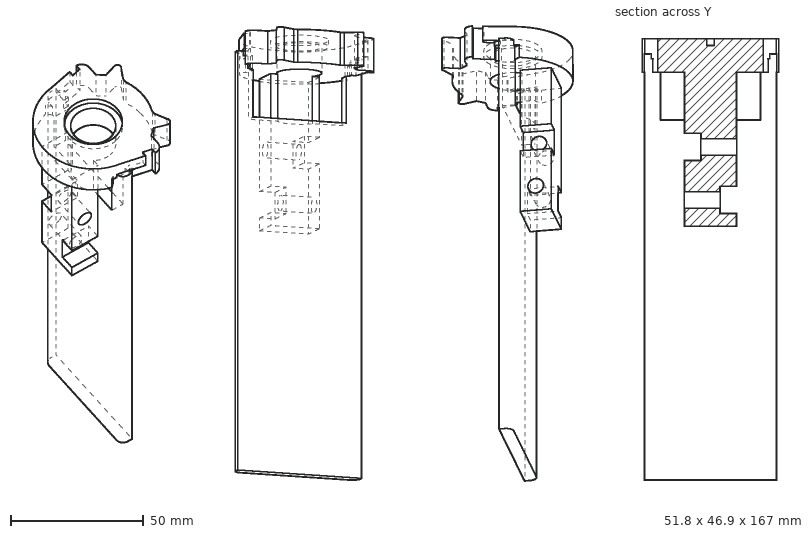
import cadquery as cq

COLLAR_TOP = 167.0
COLLAR_HEIGHT = 12.7
COLLAR_BOTTOM = COLLAR_TOP - COLLAR_HEIGHT
COLLAR_RADIUS = 22.9
BORE_DIAMETER = 17.0
COUNTERBORE_DIAMETER = 22.0
COUNTERBORE_DEPTH = 2.5

SHOULDER_HALF_WIDTH = 25.9
SHOULDER_REAR = 14.0
SHOULDER_FRONT = 10.5
SHOULDER_ROUND = SHOULDER_REAR - SHOULDER_FRONT
SIDE_WALL_REAR_X = 23.7
SIDE_WALL_FRONT_X = 21.9
HORN_TIP_Y = 24.0
HORN_OUTER_X = 17.4
HORN_TIP_WIDTH = 2.5
HORN_TIP_DROP = 0.5
HORN_TIP_HEIGHT = 2.0
HORN_ROOT = (15.7, 17.0)
HORN_VALLEY = (10.2, 21.2)
SHOULDER_INNER_X = 18.0

TAB_HEIGHT = 5.8
TAB_HALF_WIDTH = 24.9
TAB_REAR = 6.7
TAB_FRONT = (22.4, -4.3)

PLATE_WIDTH = 50.1
PLATE_THICKNESS = 5.2
PLATE_FRONT = -4.8
PLATE_REAR = PLATE_FRONT + PLATE_THICKNESS
PLATE_TOP = COLLAR_TOP - 5.7
PLATE_EDGE_RADIUS = 3.0
WINDOW_WIDTH = 37.7
WINDOW_BOTTOM = COLLAR_TOP - 30.7

RELIEF_TOP = COLLAR_TOP - 7.5
RELIEF_INNER_X = 20.0
RELIEF_MOUTH_X = 21.9
RELIEF_REAR = 2.5
RELIEF_FRONT = -6.8

BLOCK_WIDTH = 19.7
BLOCK_FRONT = -16.9
BLOCK_BOTTOM = COLLAR_TOP - 71.0
CROSS_HOLE_DIAMETER = 6.0
CROSS_HOLE_Y = -10.9
LEFT_SLOT_Z = COLLAR_TOP - 40.9
HOLE_SPACING = 20.0
SLOT_HEIGHT = 10.2
SLOT_DEPTH = 6.2


def box(x_range, y_range, z_range):
    """Axis-aligned box between the given limits."""
    low, high = zip(x_range, y_range, z_range)
    size = [b - a for a, b in zip(low, high)]
    return cq.Workplane("XY").box(*size, centered=False).translate(low)


def both_sides(half):
    """A left-hand feature together with its mirror image."""
    return half.union(half.mirror("YZ"))


def rear_outline_half():
    """Left half of the rear of the collar: side wall, shoulder and horn."""
    corner_offset = SHOULDER_ROUND * (1 - 0.5 ** 0.5)
    horn_tip_x = HORN_OUTER_X - HORN_TIP_WIDTH / 2
    horn_side_y = HORN_TIP_Y - HORN_TIP_HEIGHT
    return (
        cq.Workplane("XY")
        .workplane(offset=COLLAR_BOTTOM)
        .moveTo(0, 0)
        .lineTo(-SIDE_WALL_FRONT_X, RELIEF_REAR)
        .lineTo(-SIDE_WALL_REAR_X, SHOULDER_FRONT)
        .lineTo(-SHOULDER_HALF_WIDTH, SHOULDER_FRONT)
        .threePointArc(
            (-SHOULDER_HALF_WIDTH + corner_offset, SHOULDER_REAR - corner_offset),
            (-SHOULDER_HALF_WIDTH + SHOULDER_ROUND, SHOULDER_REAR),
        )
        .lineTo(-SHOULDER_INNER_X, SHOULDER_REAR)
        .lineTo(-HORN_ROOT[0], HORN_ROOT[1])
        .lineTo(-HORN_OUTER_X, horn_side_y)
        .threePointArc((-horn_tip_x, HORN_TIP_Y), (-HORN_OUTER_X + HORN_TIP_WIDTH, HORN_TIP_Y - HORN_TIP_DROP))
        .lineTo(-HORN_VALLEY[0], HORN_VALLEY[1])
        .lineTo(0, HORN_VALLEY[1])
        .close()
        .extrude(COLLAR_HEIGHT)
    )


def tab_half():
    """Left tapered tab, flush with the top of the collar."""
    return (
        cq.Workplane("XY")
        .workplane(offset=COLLAR_TOP - TAB_HEIGHT)
        .polyline([(0, TAB_REAR), (-TAB_HALF_WIDTH, TAB_REAR), (-TAB_FRONT[0], TAB_FRONT[1]), (0, TAB_FRONT[1])])
        .close()
        .extrude(TAB_HEIGHT)
    )


def side_trim_half():
    """Waste outside the sloping left side wall, below the shoulder."""
    points = [
        (-SIDE_WALL_FRONT_X, RELIEF_REAR),
        (-SIDE_WALL_REAR_X, SHOULDER_FRONT),
        (-SHOULDER_HALF_WIDTH, SHOULDER_FRONT),
        (-SHOULDER_HALF_WIDTH, RELIEF_REAR),
    ]
    return cq.Workplane("XY").workplane(offset=COLLAR_BOTTOM).polyline(points).close().extrude(COLLAR_HEIGHT)


def relief_half():
    """Clearance at the left plate edge, with an oblique front wall."""
    points = [
        (-SHOULDER_HALF_WIDTH, RELIEF_REAR),
        (-RELIEF_INNER_X, RELIEF_REAR),
        (-RELIEF_INNER_X, PLATE_FRONT),
        (-RELIEF_MOUTH_X, RELIEF_FRONT),
        (-SHOULDER_HALF_WIDTH, RELIEF_FRONT),
    ]
    height = RELIEF_TOP - COLLAR_BOTTOM
    return cq.Workplane("XY").workplane(offset=COLLAR_BOTTOM).polyline(points).close().extrude(height)


def make_collar():
    disc = cq.Workplane("XY").workplane(offset=COLLAR_BOTTOM).circle(COLLAR_RADIUS).extrude(COLLAR_HEIGHT)
    collar = disc.union(both_sides(rear_outline_half()))
    collar = collar.cut(both_sides(side_trim_half())).union(both_sides(tab_half()))
    return collar.cut(both_sides(relief_half()))


def make_plate():
    half_width = PLATE_WIDTH / 2
    plate = box((-half_width, half_width), (PLATE_FRONT, PLATE_REAR), (0, PLATE_TOP))
    plate = plate.faces("<Y").edges("|Z").fillet(PLATE_EDGE_RADIUS)
    window = box(
        (-WINDOW_WIDTH / 2, WINDOW_WIDTH / 2), (PLATE_FRONT, PLATE_REAR), (WINDOW_BOTTOM, COLLAR_BOTTOM)
    )
    return plate.cut(window)


def make_block():
    half_width = BLOCK_WIDTH / 2
    block = box((-half_width, half_width), (BLOCK_FRONT, PLATE_FRONT), (BLOCK_BOTTOM, COLLAR_BOTTOM))
    for side, z in ((-1, LEFT_SLOT_Z), (1, LEFT_SLOT_Z - HOLE_SPACING)):
        x_range = sorted((side * half_width, side * (half_width - SLOT_DEPTH)))
        slot = box(x_range, (BLOCK_FRONT, PLATE_FRONT), (z - SLOT_HEIGHT / 2, z + SLOT_HEIGHT / 2))
        hole = (
            cq.Workplane("YZ")
            .center(CROSS_HOLE_Y, z)
            .circle(CROSS_HOLE_DIAMETER / 2)
            .extrude(half_width, both=True)
        )
        block = block.cut(slot).cut(hole)
    return block


def make_bore():
    """Counterbored bore that continues into the block as far as the window sill."""
    bore_depth = COLLAR_TOP - WINDOW_BOTTOM
    bore = cq.Workplane("XY").workplane(offset=WINDOW_BOTTOM).circle(BORE_DIAMETER / 2).extrude(bore_depth)
    counterbore = (
        cq.Workplane("XY")
        .workplane(offset=COLLAR_TOP - COUNTERBORE_DEPTH)
        .circle(COUNTERBORE_DIAMETER / 2)
        .extrude(COUNTERBORE_DEPTH)
    )
    return bore.union(counterbore)


result = make_collar().union(make_plate()).union(make_block()).cut(make_bore())